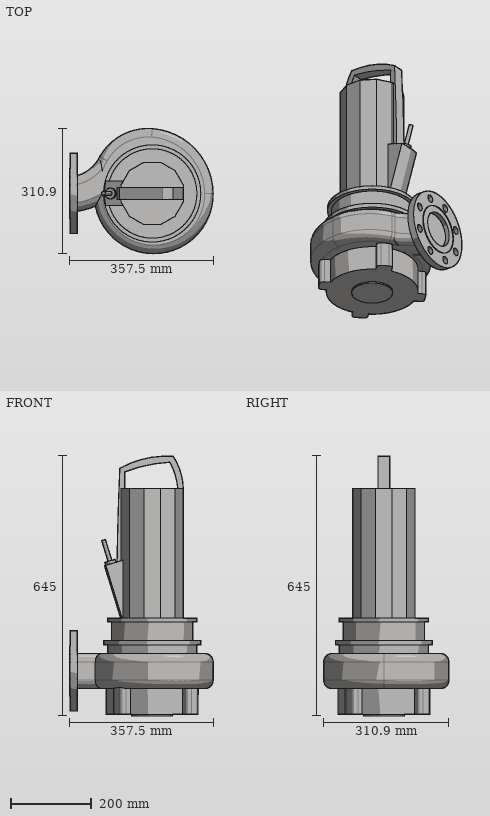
import cadquery as cq
import math


suction_lip_height = 4.0
casing_bottom = 68.0
casing_top = 155.5
ring_bottom = 177.0
ring_top = 188.0
collar_bottom = 233.5
collar_top = 243.0
motor_top = 565.0
outlet_height = 112.0

base_radius = 114.0
suction_lip_radius = 51.0
foot_count = 4
foot_reach = 135.0
foot_half_width = 20.0
foot_offset = 13.0
foot_corner_radius = 10.0
foot_overrun = 13.0

casing_round = 21.0
spiral_start = (-144.5, -3.0)
spiral_front = (0, -149.5)
spiral_right = (151.5, 0)
spiral_back = (0, 161.0)
outlet_join = (-130.0, 91.5)
spiral_end = (-148.5, 47.0)
tongue_inside = (-116.0, 19.5)
outlet_half_width = 44.5
outlet_back_bend = (-155.0, 60.5)
outlet_front_bend = (-143.0, -33.0)
outlet_inner_end = (-109.5, -15.5)

flange_radius = 100.0
flange_outer_x = -204.0
flange_inner_x = -186.0
raised_face_radius = 62.0
raised_face_height = 2.0
outlet_recess_radius = 44.5
outlet_recess_depth = 11.5
bolt_count = 8
bolt_circle_radius = 80.0
bolt_hole_radius = 9.5

neck_radius = 111.0
ring_radius = 120.5
seal_chamber_radius = 101.0
collar_radius = 111.0

motor_sides = 12
motor_half_width = 77.5
motor_corner_radius = motor_half_width / math.cos(math.pi / motor_sides)

box_tilt = 17.1
box_top_front = (-119.0, 0, 373.0)
box_half_width = 30.0
box_front_sag = 4.0
box_depth = 58.0
box_length = 193.5

gland_inset = 17.0
gland_radius = 13.5
gland_height = 8.0
cable_radius = 5.0
cable_length = 62.0

handle_half_width = 15.0
handle_leg_foot = (-88.0, 367.5)
handle_leg_middle = (-85.0, 490.0)
handle_outer_left = (-80.5, 615.0)
handle_outer_crown = (-28.0, 636.5)
handle_crown_start = (26.0, 645.0)
handle_outer_right = (52.0, 645.0)
handle_outer_bend = (68.5, 613.0)
handle_outer_end = (77.5, motor_top)
handle_inner_end = (63.0, motor_top)
handle_inner_bend = (57.0, 598.5)
handle_inner_right = (44.0, 629.5)
handle_inner_crown = (-11.5, 622.5)
handle_inner_left = (-68.0, 605.5)


def disc(radius, bottom, top):
    return cq.Workplane("XY").workplane(offset=bottom).circle(radius).extrude(top - bottom)


def rounded_slab(outline):
    slab = outline.close().extrude(casing_top - casing_bottom)
    return slab.faces("<Z or >Z").edges("not %LINE").fillet(casing_round)


def make_casing():
    plane = cq.Workplane("XY").workplane(offset=casing_bottom)
    spiral = rounded_slab(
        plane.moveTo(*spiral_start)
        .threePointArc(spiral_front, spiral_right)
        .tangentArcPoint(spiral_back, relative=False)
        .tangentArcPoint(outlet_join, relative=False)
        .tangentArcPoint(spiral_end, relative=False)
        .lineTo(*tongue_inside)
    )

    outlet_front = (flange_inner_x, -outlet_half_width)
    outlet_back = (flange_inner_x, outlet_half_width)
    outlet = rounded_slab(
        plane.moveTo(*outlet_back)
        .threePointArc(outlet_back_bend, outlet_join)
        .lineTo(*outlet_inner_end)
        .threePointArc(outlet_front_bend, outlet_front)
    )
    return spiral.union(outlet)


def make_foot():
    return (
        cq.Workplane("XY")
        .workplane(offset=suction_lip_height)
        .center(foot_reach / 2, foot_offset)
        .rect(foot_reach, 2 * foot_half_width)
        .extrude(casing_bottom + foot_overrun - suction_lip_height)
        .edges("|Z and >X")
        .fillet(foot_corner_radius)
    )


def make_base(casing):
    feet_top = casing_bottom + foot_overrun
    base = disc(base_radius, suction_lip_height, casing_bottom)
    outside_base = disc(2 * foot_reach, suction_lip_height, feet_top)
    outside_base = outside_base.cut(disc(base_radius, suction_lip_height, feet_top))
    foot = make_foot().intersect(outside_base)
    for index in range(foot_count):
        angle = 45 + index * 360 / foot_count
        base = base.union(foot.rotate((0, 0, 0), (0, 0, 1), angle))
    base = base.cut(casing)
    return base.union(disc(suction_lip_radius, 0, suction_lip_height))


def make_flange():
    thickness = flange_inner_x - flange_outer_x
    plane = cq.Workplane("YZ", origin=(flange_outer_x, 0, outlet_height))
    plate = plane.circle(flange_radius).extrude(thickness)
    raised_face = plane.circle(raised_face_radius).extrude(-raised_face_height)
    recess = plane.workplane(offset=-raised_face_height).circle(outlet_recess_radius)
    recess = recess.extrude(outlet_recess_depth)
    half_step = 180 / bolt_count
    bolt_holes = (
        plane.polarArray(bolt_circle_radius, half_step, 360, bolt_count)
        .circle(bolt_hole_radius)
        .extrude(thickness)
    )
    return plate.union(raised_face).cut(recess).cut(bolt_holes)


def make_seal_housing():
    return (
        disc(neck_radius, casing_top, ring_bottom)
        .union(disc(ring_radius, ring_bottom, ring_top))
        .union(disc(seal_chamber_radius, ring_top, collar_bottom))
        .union(disc(collar_radius, collar_bottom, collar_top))
    )


def make_motor():
    prism = (
        cq.Workplane("XY")
        .workplane(offset=collar_top)
        .polygon(motor_sides, 2 * motor_corner_radius)
        .extrude(motor_top - collar_top)
    )
    return prism.rotate((0, 0, 0), (0, 0, 1), 180 / motor_sides)


def box_top_plane():
    tilt = math.radians(box_tilt)
    return cq.Plane(
        origin=box_top_front,
        xDir=(math.cos(tilt), 0, math.sin(tilt)),
        normal=(-math.sin(tilt), 0, math.cos(tilt)),
    )


def make_cable_box(motor):
    prism = (
        cq.Workplane(box_top_plane())
        .moveTo(box_front_sag, -box_half_width)
        .threePointArc((0, 0), (box_front_sag, box_half_width))
        .lineTo(box_depth, box_half_width)
        .lineTo(box_depth, -box_half_width)
        .close()
        .extrude(-box_length)
    )
    below_collar_top = disc(collar_radius * 2, 0, collar_top)
    return prism.cut(motor).cut(below_collar_top)


def make_cable():
    plane = cq.Workplane(box_top_plane()).center(gland_inset, 0)
    gland = plane.circle(gland_radius).extrude(gland_height)
    return gland.union(plane.circle(cable_radius).extrude(cable_length))


def make_handle(cable_box):
    bar = (
        cq.Workplane("XZ")
        .moveTo(*handle_leg_foot)
        .threePointArc(handle_leg_middle, handle_outer_left)
        .threePointArc(handle_outer_crown, handle_crown_start)
        .lineTo(*handle_outer_right)
        .threePointArc(handle_outer_bend, handle_outer_end)
        .lineTo(*handle_inner_end)
        .threePointArc(handle_inner_bend, handle_inner_right)
        .threePointArc(handle_inner_crown, handle_inner_left)
        .lineTo(handle_inner_left[0], motor_top)
        .lineTo(-motor_half_width, motor_top)
        .lineTo(-motor_half_width, handle_leg_foot[1])
        .close()
        .extrude(handle_half_width, both=True)
    )
    return bar.cut(cable_box)


casing = make_casing()
base = make_base(casing)
flange = make_flange()
seal_housing = make_seal_housing()
motor = make_motor()
cable_box = make_cable_box(motor)
cable = make_cable()
handle = make_handle(cable_box)

bodies = [casing, base, flange, seal_housing, motor, cable_box, cable, handle]
result = cq.Compound.makeCompound([body.val() for body in bodies])